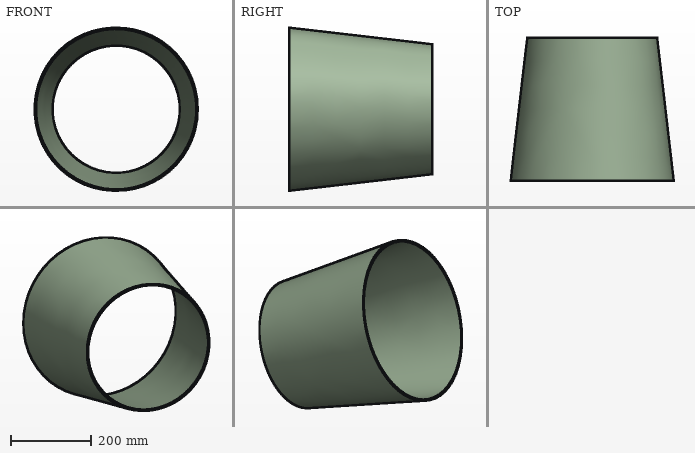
import cadquery as cq

large_diameter = 406.5
small_diameter = 324.0
wall = 4.0
length = 356.0

large_radius = large_diameter / 2
small_radius = small_diameter / 2

wall_section = (
    cq.Workplane("XY")
    .moveTo(large_radius - wall, 0)
    .lineTo(large_radius, 0)
    .lineTo(small_radius, length)
    .lineTo(small_radius - wall, length)
    .close()
)

result = wall_section.revolve(360, (0, 0, 0), (0, 1, 0))